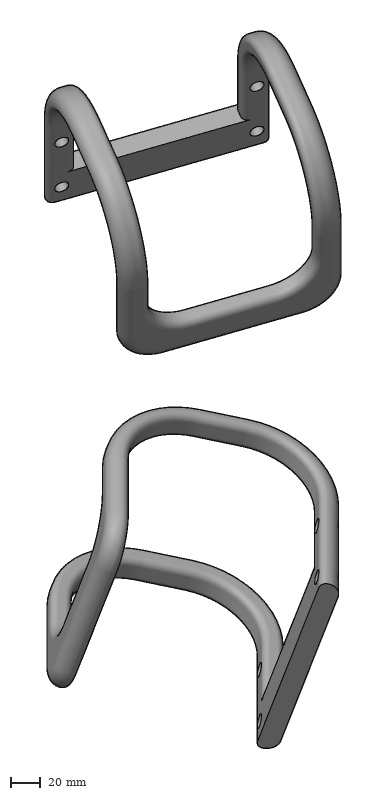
import cadquery as cq
import math

length = 163.9
width = 160.0
height = 150.0

large_radius = 10.0
small_radius = large_radius / 2
bar_thickness = large_radius + small_radius
bar_width = 20.0

inner_bend_radius = 50.0
outer_bend_radius = inner_bend_radius + bar_thickness
bend_center_z = height - outer_bend_radius
bend_middle_radius = inner_bend_radius + bar_thickness / 2

cross_height = 30.0
frame_corner_radius = 30.0
frame_top_z = cross_height + frame_corner_radius
frame_inner_x = length / 2 - bar_thickness
opening_width = width - 2 * bar_width

hole_diameter = 10.0
hole_y = width / 2 - large_radius
lower_hole_z = cross_height / 2
hole_spacing = 50.0


def rounded_slab(x_start, thickness):
    """Plate across the full width with rounded corners in the YZ plane."""
    return (
        cq.Workplane("YZ", origin=(x_start, 0, height / 2))
        .rect(width, height)
        .extrude(thickness)
        .edges("|X")
        .fillet(frame_corner_radius)
    )


def make_arch():
    """Bar on the -Y side: left leg, two bends, top run and upper right leg."""
    left_x = -length / 2
    right_x = left_x + bar_thickness
    outer_y = -width / 2
    inner_y = outer_y + bar_width
    diagonal = math.sqrt(0.5)

    def corner_arc(sketch, corner, x_side, y_side, radius, end):
        """Round a section corner; x_side and y_side point away from the bar."""
        center_x = corner[0] - x_side * radius
        center_y = corner[1] - y_side * radius
        middle = (center_x + x_side * radius * diagonal, center_y + y_side * radius * diagonal)
        return sketch.threePointArc(middle, end)

    section = cq.Workplane("XY").moveTo(left_x + large_radius, outer_y)
    section = corner_arc(
        section, (right_x, outer_y), 1, -1, small_radius, (right_x, outer_y + small_radius)
    )
    section = section.lineTo(right_x, inner_y - small_radius)
    section = corner_arc(
        section, (right_x, inner_y), 1, 1, small_radius, (right_x - small_radius, inner_y)
    )
    section = section.lineTo(left_x + small_radius, inner_y)
    section = corner_arc(
        section, (left_x, inner_y), -1, 1, small_radius, (left_x, inner_y - small_radius)
    )
    section = section.lineTo(left_x, outer_y + large_radius)
    section = corner_arc(
        section, (left_x, outer_y), -1, -1, large_radius, (left_x + large_radius, outer_y)
    ).close()

    leg_x = length / 2 - bar_thickness / 2
    bend_center_x = length / 2 - outer_bend_radius
    top_z = height - bar_thickness / 2
    path = (
        cq.Workplane("XZ", origin=(0, (outer_y + inner_y) / 2, 0))
        .moveTo(-leg_x, 0)
        .lineTo(-leg_x, bend_center_z)
        .radiusArc((-bend_center_x, top_z), bend_middle_radius)
        .lineTo(bend_center_x, top_z)
        .radiusArc((leg_x, bend_center_z), bend_middle_radius)
        .lineTo(leg_x, frame_top_z)
    )
    return section.sweep(path)


def make_end_frame():
    """Lower U-shaped part of the right-hand end, joining the two arches."""
    slab_thickness = 2 * bar_thickness
    outside = rounded_slab(length / 2 - slab_thickness, slab_thickness)
    outside = outside.faces(">X").edges().fillet(large_radius)
    inside = rounded_slab(frame_inner_x, slab_thickness)
    inside = inside.faces("<X").edges().fillet(small_radius)
    slab = outside.intersect(inside)

    opening = (
        cq.Workplane("YZ", origin=(frame_inner_x, 0, 0))
        .center(0, cross_height + height / 2)
        .rect(opening_width, height)
        .extrude(bar_thickness)
        .edges("|X and <Z")
        .fillet(frame_corner_radius)
    )
    opened_slab = (
        cq.Workplane("XY", origin=(length / 2 - bar_thickness / 2, 0, 0))
        .box(bar_thickness, width, height, centered=(True, True, False))
        .cut(opening)
        .edges(cq.selectors.BoxSelector(
            (0, -small_radius, cross_height - small_radius),
            (length, small_radius, cross_height + small_radius),
        ))
        .fillet(small_radius)
    )
    lower_part = cq.Workplane("XY").box(2 * length, width, frame_top_z, centered=(True, True, False))
    return slab.intersect(opened_slab).intersect(lower_part)


def make_left_cross_member():
    """Plain rectangular bar between the left legs."""
    return cq.Workplane("XY", origin=(-length / 2 + bar_thickness / 2, 0, 0)).box(
        bar_thickness, width - 2 * large_radius, cross_height, centered=(True, True, False)
    )


def make_screw_holes():
    hole_positions = [
        (side * hole_y, z)
        for side in (-1, 1)
        for z in (lower_hole_z, lower_hole_z + hole_spacing)
    ]
    return (
        cq.Workplane("YZ", origin=(-length / 2, 0, 0))
        .pushPoints(hole_positions)
        .circle(hole_diameter / 2)
        .extrude(bar_thickness)
    )


arch = make_arch()
result = (
    make_end_frame()
    .union(arch)
    .union(arch.mirror("XZ"))
    .union(make_left_cross_member())
    .cut(make_screw_holes())
)